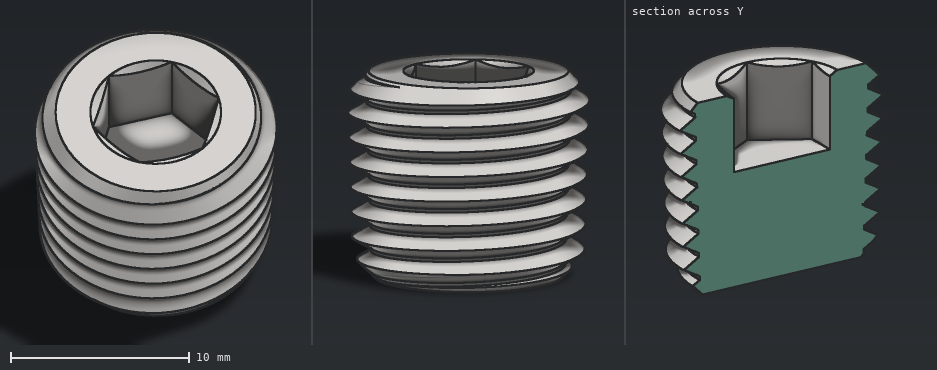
import cadquery as cq
import math

INCH = 25.4
ORIGIN = cq.Vector(0, 0, 0)
Z_AXIS = cq.Vector(0, 0, 1)

length = 0.46 * INCH
top_face_radius = 5.62
bottom_face_radius = 5.28
blank_margin = 0.1

pitch = INCH / 18
taper_slope = 1 / 32
taper_angle = math.atan(taper_slope)
flank_angle = math.radians(30)
root_flat = 0.2
thread_half_width = (pitch - root_flat) / 2
thread_depth = thread_half_width / math.tan(flank_angle)
crest_radius_at_bottom = 6.486
root_radius_at_bottom = crest_radius_at_bottom - thread_depth
thread_start_angle = -90
turns_past_end = 1
thread_embed = 0.1

socket_across_flats = 0.25 * INCH
socket_across_corners = socket_across_flats / math.cos(math.radians(30))
socket_depth = 4.7
socket_chamfer_angle = math.radians(30)


def core_radius(z):
    return root_radius_at_bottom + taper_slope * z


def make_envelope():
    """Blank with 45 degree chamfers that reach beyond the crests at both ends."""
    blank_radius = crest_radius_at_bottom + taper_slope * length + blank_margin
    top_chamfer = blank_radius - top_face_radius
    bottom_chamfer = blank_radius - bottom_face_radius
    blank = cq.Workplane("XY").circle(blank_radius).extrude(length)
    return blank.faces(">Z").chamfer(top_chamfer).faces("<Z").chamfer(bottom_chamfer)


def make_core():
    """Cone through the thread roots."""
    return cq.Workplane(cq.Solid.makeCone(core_radius(0), core_radius(length), length))


def thread_helix(radial_offset, axial_offset):
    """Conical helix parallel to the crest, running past both ends of the body."""
    start_z = -turns_past_end * pitch
    radius = crest_radius_at_bottom + taper_slope * start_z + radial_offset
    height = length - 2 * start_z
    slant = 1 / math.cos(taper_angle)
    helix = cq.Wire.makeHelix(
        pitch * slant,
        height * slant,
        radius,
        cq.Vector(0, 0, start_z + axial_offset),
        Z_AXIS,
        math.degrees(taper_angle),
    )
    return helix.rotate(ORIGIN, Z_AXIS, thread_start_angle)


def make_thread():
    """Triangular helical ridge, closed by two flanks, a sunken base and its two end triangles."""
    base_depth = thread_depth + thread_embed
    base_half_width = base_depth * math.tan(flank_angle)
    crest = thread_helix(0, 0)
    lower = thread_helix(-base_depth, -base_half_width)
    upper = thread_helix(-base_depth, base_half_width)
    edges = (crest, upper, lower)
    sides = [cq.Face.makeRuledSurface(edges[i - 1], edges[i]) for i in range(len(edges))]
    ends = []
    for position in (0, 1):
        corners = [edge.positionAt(position) for edge in edges]
        ends.append(cq.Face.makeFromWires(cq.Wire.makePolygon(corners, close=True)))
    return cq.Workplane(cq.Solid.makeSolid(cq.Shell.makeShell(sides + ends)))


def make_socket():
    """Blind hexagon with corners along Y and a conical lead-in through its corners."""
    hexagon = (
        cq.Workplane("XY", origin=(0, 0, length))
        .transformed(rotate=(0, 0, 90))
        .polygon(6, socket_across_corners)
        .extrude(-socket_depth)
    )
    mouth_radius = socket_across_corners / 2
    cone_depth = mouth_radius * math.tan(socket_chamfer_angle)
    lead_in = cq.Solid.makeCone(mouth_radius, 0, cone_depth, cq.Vector(0, 0, length), -Z_AXIS)
    return hexagon.union(cq.Workplane(lead_in))


threaded = make_core().union(make_thread()).intersect(make_envelope())
result = threaded.cut(make_socket())